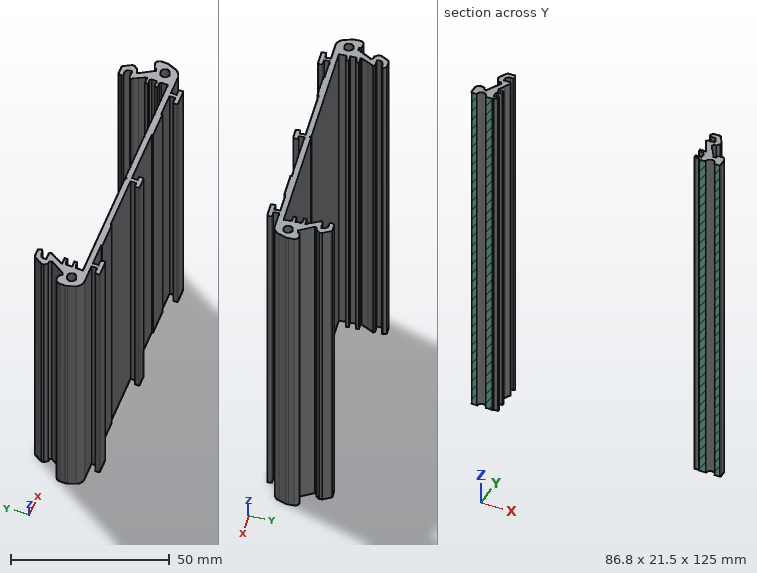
import cadquery as cq
import math

length = 125.0
half_width = 43.42
overall_height = 21.5

right_angle = math.pi / 2

floor_thickness = 2.0
wall_x = 36.2
marking_groove_width = 0.8
marking_groove_depth = 0.45

pad_inner_x = 17.6
pad_outer_x = 25.7
pad_height = 0.4

foot_height = 3.5
foot_flange_thickness = 1.6
foot_edge_radius = 0.3
foot_stem_width = 1.2
middle_foot_width = 3.8
side_foot_x = 33.25
side_foot_width = 5.1

screw_x = 39.85
screw_y = 4.35
screw_diameter = 3.0

flank_lean = math.radians(19.5)
corner_radius = 3.0
corner_center = (39.6, corner_radius)
flank_radius = 2.4
flank_center_x = half_width - flank_radius
flank_rise = (flank_center_x - corner_center[0]) * math.cos(flank_lean) - (corner_radius - flank_radius)
flank_center = (flank_center_x, corner_center[1] + flank_rise / math.sin(flank_lean))

lobe_radius = 1.6
lobe_center = (half_width - lobe_radius, 7.0)
lobe_shoulder = (40.5, 8.2)
valley_outer = (40.3, 7.6)
valley_inner = (39.6, 7.4)

top_y = overall_height - foot_height
arm_top_outer = (36.75, 12.25)
neck_middle = (37.05, 12.85)
neck_end = (37.9, 13.0)
hook_back_low = (38.8, 14.2)
hook_back_high = (38.8, 15.1)
hook_crown_drop = 0.4
hook_slant_top = (37.4, top_y - hook_crown_drop)
hook_crown = (37.0, top_y)
lip_x = 34.4
lip_tip = (33.9, 16.8)
lip_underside = (34.4, 16.35)
hook_mouth_top = (35.4, 16.35)
hook_mouth_middle = (36.3, 15.95)
hook_mouth_back = (36.65, 15.1)
hook_mouth_floor_y = 14.25
nose_tip = (33.9, 13.65)
nose_low = (34.3, 13.1)
arm_bend = (35.1, 11.6)
arm_foot_y = 9.4

rib_tip_x = 34.2
rib_thickness = 1.0
rib_root_chamfer = 0.5
union_overlap = 0.5
rib_tops = (9.0, 5.7)


def point_on_arc(center, radius, angle):
    """Point at an angle, measured from +X, on a circle."""
    return (center[0] + radius * math.cos(angle), center[1] + radius * math.sin(angle))


def plate(x_low, x_high, y_low, y_high):
    """Rectangular bar over the full length of the extrusion."""
    return (
        cq.Workplane("XY")
        .center((x_low + x_high) / 2, (y_low + y_high) / 2)
        .rect(x_high - x_low, y_high - y_low)
        .extrude(length)
    )


def guide_rib(top):
    """Guide rib with a sloped root on its underside."""
    bottom = top - rib_thickness
    root_x = wall_x + union_overlap
    return (
        cq.Workplane("XY")
        .moveTo(root_x, top)
        .lineTo(rib_tip_x, top)
        .lineTo(rib_tip_x, bottom)
        .lineTo(wall_x - rib_root_chamfer, bottom)
        .lineTo(wall_x, bottom - rib_root_chamfer)
        .lineTo(root_x, bottom - rib_root_chamfer)
        .close()
        .extrude(length)
    )


def side_profile():
    """Wall at +X with its screw channel, arm and hook."""
    wall = (
        cq.Workplane("XY")
        .moveTo(wall_x, 0)
        .lineTo(corner_center[0], 0)
        .threePointArc(
            point_on_arc(corner_center, corner_radius, (-flank_lean - right_angle) / 2),
            point_on_arc(corner_center, corner_radius, -flank_lean),
        )
        .lineTo(*point_on_arc(flank_center, flank_radius, -flank_lean))
        .threePointArc(
            point_on_arc(flank_center, flank_radius, -flank_lean / 2),
            point_on_arc(flank_center, flank_radius, 0),
        )
        .lineTo(*point_on_arc(lobe_center, lobe_radius, 0))
        .threePointArc(
            point_on_arc(lobe_center, lobe_radius, right_angle / 2),
            point_on_arc(lobe_center, lobe_radius, right_angle),
        )
        .lineTo(*lobe_shoulder)
        .lineTo(*valley_outer)
        .lineTo(*valley_inner)
        .lineTo(*arm_top_outer)
        .threePointArc(neck_middle, neck_end)
        .lineTo(*hook_back_low)
        .lineTo(*hook_back_high)
        .lineTo(*hook_slant_top)
        .lineTo(*hook_crown)
        .lineTo(lip_x, top_y)
        .lineTo(*lip_tip)
        .lineTo(*lip_underside)
        .lineTo(*hook_mouth_top)
        .threePointArc(hook_mouth_middle, hook_mouth_back)
        .lineTo(hook_mouth_back[0], hook_mouth_floor_y)
        .lineTo(lip_x, hook_mouth_floor_y)
        .lineTo(*nose_tip)
        .lineTo(*nose_low)
        .lineTo(*arm_bend)
        .lineTo(wall_x, arm_foot_y)
        .close()
        .extrude(length)
    )
    for rib_top in rib_tops:
        wall = wall.union(guide_rib(rib_top))
    screw_channel = cq.Workplane("XY").center(screw_x, screw_y).circle(screw_diameter / 2).extrude(length)
    return wall.cut(screw_channel)


def foot(center_x, width):
    """T-shaped foot hanging below the floor."""
    half_stem = foot_stem_width / 2
    half_flange = width / 2
    flange_top = foot_flange_thickness - foot_height
    stem = plate(center_x - half_stem, center_x + half_stem, -foot_height, floor_thickness)
    flange = plate(center_x - half_flange, center_x + half_flange, -foot_height, flange_top)
    return stem.union(flange.edges("|Z").fillet(foot_edge_radius))


def marking_groove():
    """Shallow V groove along the middle of the floor's inner face."""
    return (
        cq.Workplane("XY")
        .moveTo(-marking_groove_width / 2, floor_thickness)
        .lineTo(0, floor_thickness - marking_groove_depth)
        .lineTo(marking_groove_width / 2, floor_thickness)
        .close()
        .extrude(length)
    )


half = side_profile()
half = half.union(plate(0, wall_x + union_overlap, 0, floor_thickness))
half = half.union(plate(pad_inner_x, pad_outer_x, -pad_height, floor_thickness))
half = half.union(foot(side_foot_x, side_foot_width))
profile = half.union(half.mirror("YZ")).union(foot(0, middle_foot_width))
result = profile.cut(marking_groove()).clean()